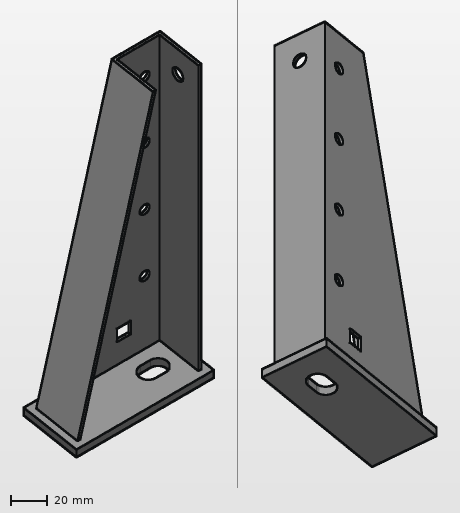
import cadquery as cq

base_width = 45.0
base_length = 100.0
base_thickness = 6.0

total_height = 236.0
post_top_depth = 35.2
post_inset = 5.0
post_width = base_width - 2 * post_inset
wall = 2.1

hole_diameter = 7.0
hole_count = 4
hole_pitch = 50.0
top_hole_drop = 25.0
hole_setback = 13.0

window_size = 10.0
window_setback = 28.0
window_rise = 22.2

slot_width = 13.0
slot_length = 20.0
slot_setback = 25.0

flange_hole_diameter = 9.0
flange_hole_drop = 19.0

back_y = base_length / 2 - post_inset
front_y = -back_y
web_x = -post_width / 2


def post_profile(back, front_bottom, front_top):
    """Side outline with a vertical back edge and a sloping front edge."""
    points = [
        (back, base_thickness),
        (back, total_height),
        (front_top, total_height),
        (front_bottom, base_thickness),
    ]
    return cq.Workplane("YZ").polyline(points).close()


def make_base():
    plate = cq.Workplane("XY").box(base_width, base_length, base_thickness, centered=(True, True, False))
    slot = (
        cq.Workplane("XY")
        .center(0, base_length / 2 - slot_setback)
        .slot2D(slot_length, slot_width, angle=90)
        .extrude(base_thickness)
    )
    return plate.cut(slot)


def make_post():
    front_top_y = back_y - post_top_depth
    outer = post_profile(back_y, front_y, front_top_y).extrude(post_width)
    inner = post_profile(back_y - wall, front_y + wall, front_top_y + wall).extrude(post_width)
    channel = outer.cut(inner.translate((wall, 0, 0)))
    return channel.translate((web_x, 0, 0))


def make_web_openings():
    web_plane = cq.Workplane("YZ", origin=(web_x, 0, 0))
    top_hole_z = total_height - top_hole_drop
    hole_centers = [(back_y - hole_setback, top_hole_z - i * hole_pitch) for i in range(hole_count)]
    holes = web_plane.pushPoints(hole_centers).circle(hole_diameter / 2).extrude(wall)
    window = (
        web_plane.center(back_y - window_setback, base_thickness + window_rise)
        .rect(window_size, window_size)
        .extrude(wall)
    )
    return holes.union(window)


def make_flange_hole():
    flange_plane = cq.Workplane("XZ", origin=(0, back_y, 0))
    hole = flange_plane.center(0, total_height - flange_hole_drop).circle(flange_hole_diameter / 2)
    return hole.extrude(wall)


result = make_base().union(make_post()).cut(make_web_openings()).cut(make_flange_hole())